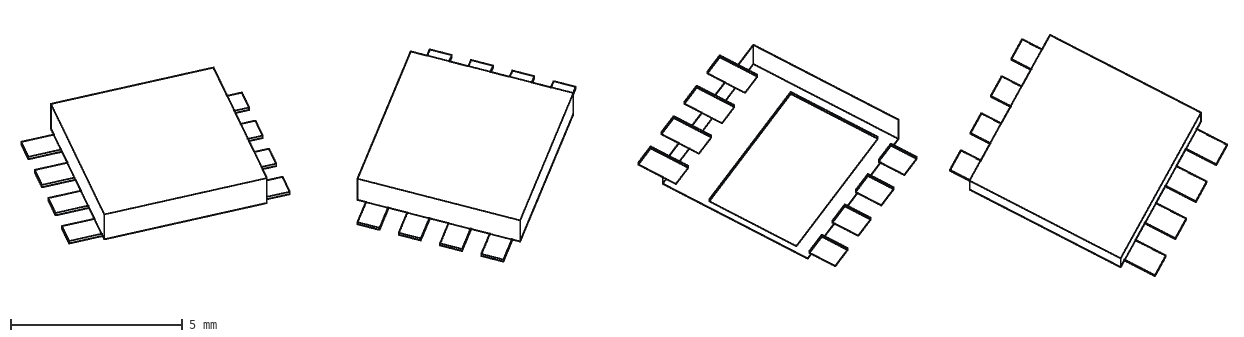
import cadquery as cq

body_side = 5.0
total_height = 1.1
metal_thickness = 0.1

leads_per_row = 4
lead_pitch = 1.27
lead_width = 0.68
total_length = 6.78
front_overhang = 1.0
rear_overhang = total_length - body_side - front_overhang
front_lead_length = 1.295
rear_lead_length = 0.89

pad_length = 3.0
pad_width = (leads_per_row - 1) * lead_pitch + lead_width
pad_center_y = 0.45

front_tip_y = -body_side / 2 - front_overhang
rear_tip_y = body_side / 2 + rear_overhang


def make_body():
    """Square block with its underside on top of the metal."""
    return (
        cq.Workplane("XY")
        .workplane(offset=metal_thickness)
        .rect(body_side, body_side)
        .extrude(total_height - metal_thickness)
    )


def make_metal_plate(width, length, center_x, center_y):
    """Flat metal rectangle lying on the base plane."""
    return (
        cq.Workplane("XY")
        .center(center_x, center_y)
        .rect(width, length)
        .extrude(metal_thickness)
    )


def make_lead_row(length, center_y):
    """Evenly spaced leads, centred on the body in X."""
    leads = []
    for index in range(leads_per_row):
        center_x = (index - (leads_per_row - 1) / 2) * lead_pitch
        leads.append(make_metal_plate(lead_width, length, center_x, center_y).val())
    return leads


body = make_body()
thermal_pad = make_metal_plate(pad_width, pad_length, 0, pad_center_y)
front_leads = make_lead_row(front_lead_length, front_tip_y + front_lead_length / 2)
rear_leads = make_lead_row(rear_lead_length, rear_tip_y - rear_lead_length / 2)

result = cq.Compound.makeCompound([body.val(), thermal_pad.val(), *front_leads, *rear_leads])